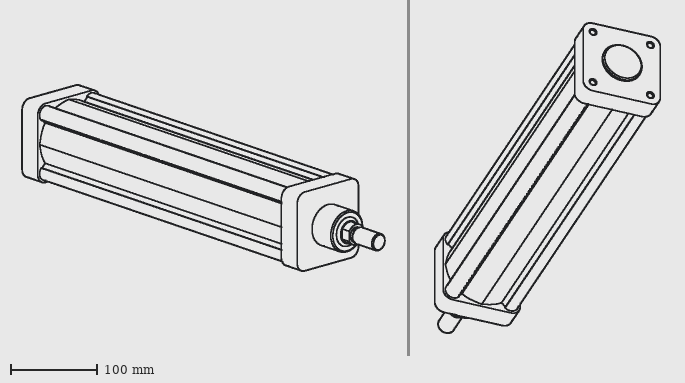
import cadquery as cq
import math

total_length = 566.0

cover_side = 96.0
cover_thickness = 27.0
cover_corner_radius = 12.0

rear_boss_length = 4.0
rear_boss_radius = 24.5
rear_boss_chamfer = 1.5
hole_offset = 35.5
hole_radius = 3.5
hole_mouth_chamfer = 1.0
hole_depth = 16.0

barrel_length = 419.5
tube_radius = 44.0
ridge_half_width = 9.5
lobe_radius = 9.5
web_half_width = 8.5

nose_radius = 25.0
nose_length = 34.0
nose_chamfer = 1.5
wiper_length = 3.0
wiper_base_radius = 17.5
wiper_tip_radius = 13.5

rod_radius = 12.5
rod_collar_length = 12.0
flat_half_width = 11.0
neck_radius = 9.0
neck_length = 3.5
thread_radius = 10.0
thread_chamfer_length = 1.5

rear_cover_x = rear_boss_length
barrel_x = rear_cover_x + cover_thickness
front_cover_x = barrel_x + barrel_length
nose_x = front_cover_x + cover_thickness
wiper_x = nose_x + nose_length
rod_x = wiper_x + wiper_length
neck_x = rod_x + rod_collar_length
thread_x = neck_x + neck_length


def section_plane(x):
    """Plane across the axis at x, with local axes along Y and Z and its normal along +X."""
    return cq.Workplane("YZ", origin=(x, 0, 0))


def turned(profile):
    """Solid of revolution about X from (x, radius) corners; the ends are closed on the axis."""
    closed = [(profile[0][0], 0)] + profile + [(profile[-1][0], 0)]
    return cq.Workplane("XY").polyline(closed).close().revolve(360, (0, 0, 0), (1, 0, 0))


def cover_plate(x):
    """Square end plate with rounded corners, its rear face at x."""
    plate = section_plane(x).rect(cover_side, cover_side).extrude(cover_thickness)
    return plate.edges("|X").fillet(cover_corner_radius)


def make_rear_cover():
    """Rear plate with a centring spigot and four blind mounting holes."""
    spigot = turned([
        (0, rear_boss_radius - rear_boss_chamfer),
        (rear_boss_chamfer, rear_boss_radius),
        (barrel_x, rear_boss_radius),
    ])
    hole = turned([
        (rear_cover_x, hole_radius + hole_mouth_chamfer),
        (rear_cover_x + hole_mouth_chamfer, hole_radius),
        (rear_cover_x + hole_depth, hole_radius),
    ])
    cover = cover_plate(rear_cover_x).union(spigot)
    for y_side in (-1, 1):
        for z_side in (-1, 1):
            cover = cover.cut(hole.translate((0, y_side * hole_offset, z_side * hole_offset)))
    return cover


def make_barrel():
    """Round tube with a shallow ridge along each side and a rounded lobe at each corner."""
    barrel = section_plane(barrel_x).circle(tube_radius).extrude(barrel_length)

    foot_distance = math.sqrt(tube_radius**2 - ridge_half_width**2)
    crest_distance = tube_radius**2 / foot_distance
    ridge = (
        section_plane(barrel_x)
        .polyline([(0, 0), (ridge_half_width, foot_distance), (0, crest_distance),
                   (-ridge_half_width, foot_distance)])
        .close()
        .extrude(barrel_length)
    )

    lobe_distance = hole_offset * math.sqrt(2)
    lobe = (
        section_plane(barrel_x)
        .moveTo(-web_half_width, 0)
        .lineTo(-web_half_width, lobe_distance)
        .lineTo(-lobe_radius, lobe_distance)
        .threePointArc((0, lobe_distance + lobe_radius), (lobe_radius, lobe_distance))
        .lineTo(web_half_width, lobe_distance)
        .lineTo(web_half_width, 0)
        .close()
        .extrude(barrel_length)
    )
    for quarter in range(4):
        side_angle = 90 * quarter
        barrel = barrel.union(ridge.rotate((0, 0, 0), (1, 0, 0), side_angle))
        barrel = barrel.union(lobe.rotate((0, 0, 0), (1, 0, 0), side_angle + 45))
    return barrel


def make_front_cover():
    """Front plate with a chamfered nose that ends in a tapered wiper ring."""
    nose = turned([
        (front_cover_x, nose_radius),
        (wiper_x - nose_chamfer, nose_radius),
        (wiper_x, nose_radius - nose_chamfer),
        (wiper_x, wiper_base_radius),
        (rod_x, wiper_tip_radius),
    ])
    return cover_plate(front_cover_x).union(nose)


def make_rod():
    """Rod end: collar with two wrench flats along it, undercut neck and chamfered thread."""
    rod = turned([
        (rod_x, rod_radius),
        (neck_x, rod_radius),
        (neck_x, neck_radius),
        (thread_x, neck_radius),
        (thread_x + thread_chamfer_length, thread_radius),
        (total_length - thread_chamfer_length, thread_radius),
        (total_length, neck_radius),
    ])
    flat_depth = rod_radius - flat_half_width
    for side in (-1, 1):
        flat_cutter = cq.Workplane("XY").box(rod_collar_length, flat_depth, 2 * rod_radius).translate(
            (rod_x + rod_collar_length / 2, side * (flat_half_width + flat_depth / 2), 0)
        )
        rod = rod.cut(flat_cutter)
    return rod


rear_cover = make_rear_cover()
barrel = make_barrel()
front_cover = make_front_cover()
rod = make_rod()

result = cq.Compound.makeCompound([
    rear_cover.val(),
    barrel.val(),
    front_cover.val(),
    rod.val(),
])